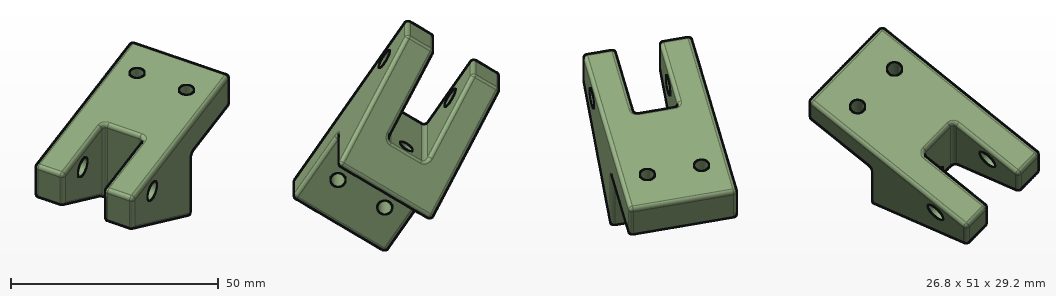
import cadquery as cq

length = 51.0
width = 26.8
plate_thickness = 10.0
edge_radius = 1.0

back_overhang = 20.0
leg_depth = 30.05

slot_width = 10.8
slot_depth = 21.0

mount_hole_diameter = 3.6
mount_hole_spacing = 13.35
mount_hole_from_back = 10.0
leg_hole_below_top = 20.0
pin_hole_diameter = 5.0
pin_hole_from_front = 10.0
pin_hole_below_top = 5.3

leg_rear = length - back_overhang


def make_body():
    """Side profile extruded across the width, slotted and rounded all over."""
    profile = [
        (0, 0),
        (length, 0),
        (length, -plate_thickness),
        (leg_rear, -plate_thickness),
        (leg_rear, -leg_depth),
        (0, -plate_thickness),
    ]
    body = cq.Workplane("YZ").polyline(profile).close().extrude(width / 2, both=True)
    slot = (
        cq.Workplane("XY")
        .rect(slot_width, 2 * slot_depth)
        .extrude(-leg_depth)
    )
    return body.cut(slot).edges().fillet(edge_radius)


def mount_holes():
    """Pair of vertical holes through the plate."""
    half_spacing = mount_hole_spacing / 2
    hole_y = length - mount_hole_from_back
    return (
        cq.Workplane("XY")
        .pushPoints([(-half_spacing, hole_y), (half_spacing, hole_y)])
        .circle(mount_hole_diameter / 2)
        .extrude(-plate_thickness)
    )


def leg_hole():
    """Hole along Y from the slot's end wall through the leg's rear face."""
    return (
        cq.Workplane("XZ")
        .center(0, -leg_hole_below_top)
        .circle(mount_hole_diameter / 2)
        .extrude(-length)
    )


def pin_hole():
    """Hole along X through both arms."""
    return (
        cq.Workplane("YZ")
        .center(pin_hole_from_front, -pin_hole_below_top)
        .circle(pin_hole_diameter / 2)
        .extrude(width / 2, both=True)
    )


result = make_body().cut(mount_holes()).cut(leg_hole()).cut(pin_hole())